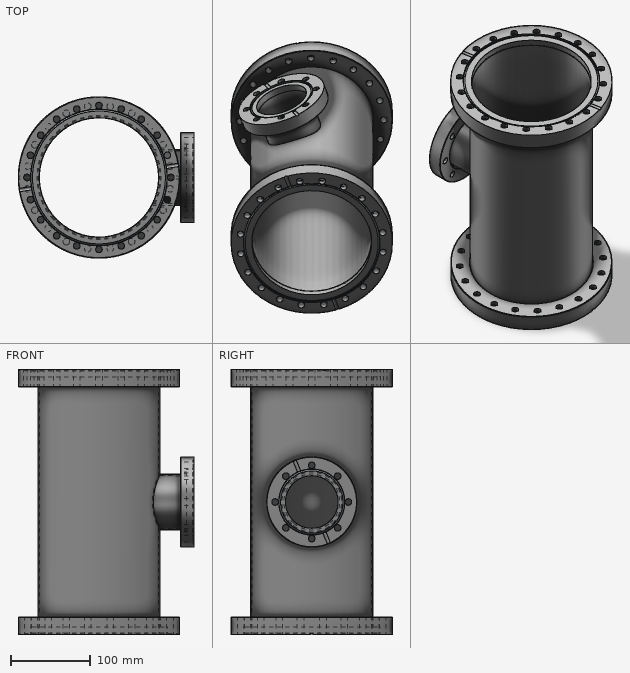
import cadquery as cq

total_height = 334.0
branch_reach = 120.0

main_outer = 154.0
main_bore = 150.0
branch_outer = 70.0
branch_bore = 66.0

end_flange = {
    "outer": 203.0,
    "thickness": 22.0,
    "back_bore": 154.5,
    "back_chamfer": 0.7,
    "bolt_circle": 181.0,
    "bolts": 20,
    "insert_outer": 171.5,
    "insert_bore": 150.5,
}
branch_flange = {
    "outer": 113.5,
    "thickness": 17.5,
    "back_bore": 75.0,
    "back_chamfer": 0.5,
    "bolt_circle": 92.2,
    "bolts": 8,
    "insert_outer": 82.5,
    "insert_bore": branch_bore,
}

bolt_hole = 8.5
insert_clearance = 0.7
leak_groove_radius = 2.5
leak_groove_depth = 1.5
insert_face_depth = 1.0
insert_back_depth = 9.7
rim_slope_width = 2.0
rim_slope_drop = 1.0


def cylinder(diameter, low, high):
    """Solid cylinder on the Z axis between two heights."""
    return cq.Workplane("XY").workplane(offset=low).circle(diameter / 2).extrude(high - low)


def along_branch(body):
    """Turn a body built along +Z so that it lies along +X."""
    return body.rotate((0, 0, 0), (0, 1, 0), 90)


def half_bolt_pitch(flange):
    """Angle from a bolt hole to the middle of the gap beside it."""
    return 180 / flange["bolts"]


def bolt_holes(flange):
    """Through holes, the first one on +X."""
    return (
        cq.Workplane("XY")
        .polarArray(flange["bolt_circle"] / 2, 0, 360, flange["bolts"])
        .circle(bolt_hole / 2)
        .extrude(-flange["thickness"])
    )


def leak_groove_cutter(flange):
    """Round bar along a diameter of the ring's face, midway between bolt holes."""
    axis_height = leak_groove_radius - leak_groove_depth
    return (
        cq.Workplane("YZ")
        .center(0, axis_height)
        .circle(leak_groove_radius)
        .extrude(flange["outer"] / 2, both=True)
        .rotate((0, 0, 0), (0, 0, 1), half_bolt_pitch(flange))
    )


def make_tee():
    """Main tube with the branch tube welded to its side."""
    main_half = total_height / 2 - insert_back_depth
    branch_end = branch_reach - insert_back_depth
    outside = cylinder(main_outer, -main_half, main_half)
    outside = outside.union(along_branch(cylinder(branch_outer, 0, branch_end)))
    tee = outside.cut(cylinder(main_bore, -main_half, main_half))
    return tee.cut(along_branch(cylinder(branch_bore, 0, branch_end)))


def make_bolt_ring(flange):
    """Ring with a wide bore for the insert and a narrower back bore for the tube."""
    ring = cylinder(flange["outer"], -flange["thickness"], 0)
    ring = ring.cut(cylinder(flange["back_bore"], -flange["thickness"], 0))
    ring = ring.faces("<Z").edges().chamfer(flange["back_chamfer"])
    ring = ring.cut(cylinder(flange["insert_outer"] + insert_clearance, -insert_back_depth, 0))
    return ring.cut(bolt_holes(flange)).cut(leak_groove_cutter(flange))


def make_insert(flange):
    """Flat seat ring with a sloped rim, standing on the tube end and the step of the bolt ring."""
    bore_radius = flange["insert_bore"] / 2
    rim_radius = flange["insert_outer"] / 2
    return (
        cq.Workplane("XZ")
        .polyline([
            (bore_radius, -insert_back_depth),
            (rim_radius, -insert_back_depth),
            (rim_radius, -insert_face_depth - rim_slope_drop),
            (rim_radius - rim_slope_width, -insert_face_depth),
            (bore_radius, -insert_face_depth),
        ])
        .close()
        .revolve(360, (0, 0, 0), (0, 1, 0))
    )


def place_top(body):
    return body.translate((0, 0, total_height / 2))


def place_bottom(body):
    """Upside down at the lower end, turned so that the leak groove lies on the X axis."""
    turned = body.rotate((0, 0, 0), (0, 0, 1), -half_bolt_pitch(end_flange))
    return place_top(turned).rotate((0, 0, 0), (1, 0, 0), 180)


def place_branch(body):
    return along_branch(body).translate((branch_reach, 0, 0))


tee = make_tee()

flange_places = [
    (end_flange, place_top),
    (end_flange, place_bottom),
    (branch_flange, place_branch),
]
bolt_rings = [place(make_bolt_ring(flange)) for flange, place in flange_places]
inserts = [place(make_insert(flange)) for flange, place in flange_places]

result = cq.Compound.makeCompound([body.val() for body in [tee, *bolt_rings, *inserts]])